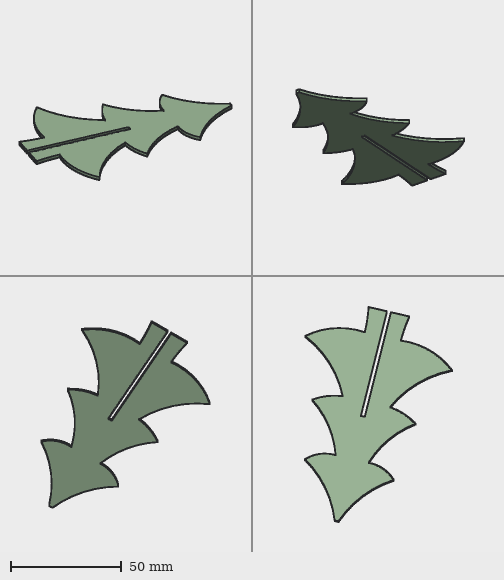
import cadquery as cq

height = 100.6
width = 68.2
thickness = 1.6

slot_width = 1.8
slot_length = height / 2

crown_top = (slot_width / 2, height)
trunk_top = (8.3, 11.9)
trunk_middle = (8.7, 6.0)
trunk_foot = (9.5, 0.0)

tiers = [
    ((9.3, 85.9), (20.6, 76.0), (15.4, 72.2), (7.6, 70.8)),
    ((13.6, 58.6), (24.0, 48.1), (18.1, 45.0), (11.0, 43.3)),
    ((19.5, 30.5), (width / 2, 19.9), (22.5, 13.4), trunk_top),
]


def make_half_tree():
    """Extrude the half of the tree to the right of its centre line."""
    outline = cq.Workplane("XY").moveTo(0, height).lineTo(*crown_top)
    for upper_middle, tip, lower_middle, inner_end in tiers:
        outline = outline.threePointArc(upper_middle, tip)
        outline = outline.threePointArc(lower_middle, inner_end)
    outline = outline.threePointArc(trunk_middle, trunk_foot)
    return outline.lineTo(0, 0).close().extrude(thickness)


def make_slot():
    """Cutter for the slot, running up the centre line from the foot."""
    return cq.Workplane("XY").center(0, slot_length / 2).rect(slot_width, slot_length).extrude(thickness)


half_tree = make_half_tree()
tree = half_tree.union(half_tree.mirror("YZ")).clean()
result = tree.cut(make_slot())